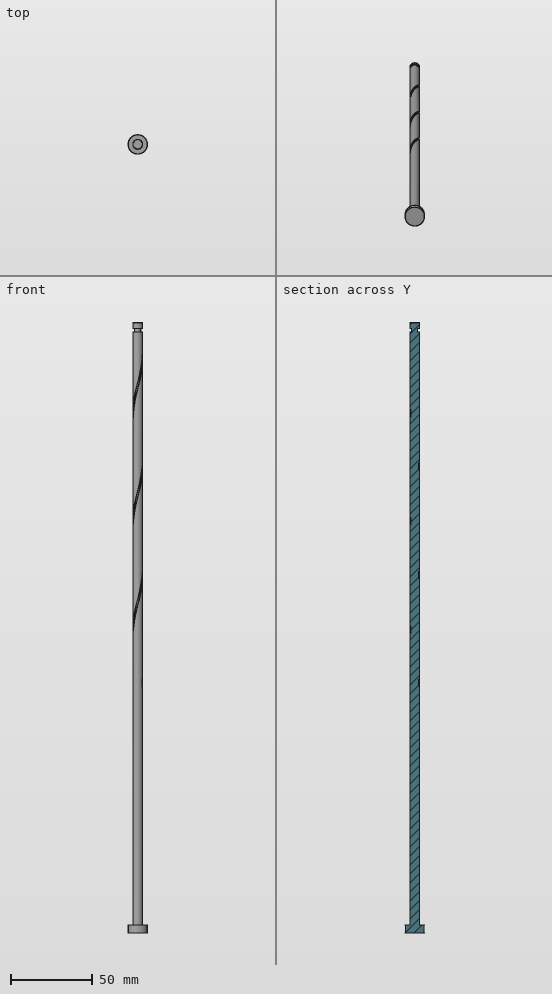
import cadquery as cq

total_length = 375.7
shaft_diameter = 6.0
shaft_radius = shaft_diameter / 2

head_diameter = 12.0
head_height = 5.0

tip_length = 3.7
neck_length = 2.0
neck_diameter = 4.0

helix_length = 200.0
helix_turns = 3
helix_pitch = helix_length / helix_turns
helix_top_offset = 22.0
helix_bottom = total_length - helix_top_offset - helix_length
groove_width = 4.0
groove_depth = 0.5


def make_cylinder(diameter, bottom, height):
    return cq.Workplane("XY").workplane(offset=bottom).circle(diameter / 2).extrude(height)


def make_pin_body():
    neck_bottom = total_length - tip_length - neck_length
    head = make_cylinder(head_diameter, 0, head_height)
    shaft = make_cylinder(shaft_diameter, head_height, neck_bottom - head_height)
    neck = make_cylinder(neck_diameter, neck_bottom, neck_length)
    tip = make_cylinder(shaft_diameter, neck_bottom + neck_length, tip_length)
    return head.union(shaft).union(neck).union(tip)


def make_helical_cutter():
    path = cq.Wire.makeHelix(helix_pitch, helix_length, shaft_radius)
    profile = cq.Workplane("XZ").center(shaft_radius, 0).rect(2 * groove_depth, groove_width)
    cutter = profile.sweep(cq.Workplane(path), isFrenet=True)
    return cutter.translate((0, 0, helix_bottom))


result = make_pin_body().cut(make_helical_cutter())